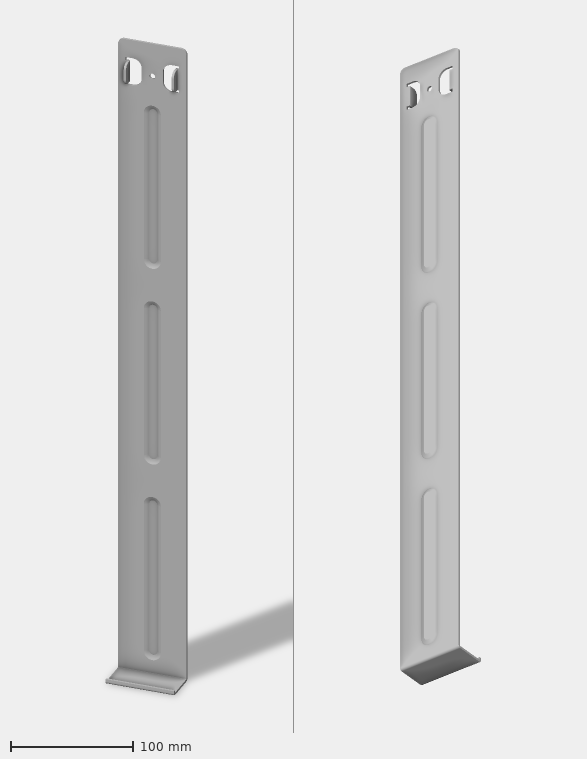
import cadquery as cq
import math

width = 60.0
height = 581.0
overall_depth = 32.5
sheet = 2.0
bend_radius = 0.3
outer_bend_radius = bend_radius + sheet
top_corner_radius = 5.0

rib_count = 3
rib_pitch = 180.0
rib_length = 150.0
rib_width = 15.0
rib_floor_width = 7.0
rib_depth = 2.0
lowest_rib_bottom = 14.0
rib_taper = math.degrees(math.atan((rib_width - rib_floor_width) / 2 / rib_depth))
wall_half_angle = math.radians((90.0 - rib_taper) / 2)
rib_back_width_gain = 2 * sheet * math.tan(wall_half_angle)

flange_reach = overall_depth - sheet - rib_depth
lip_height = 4.5

window_centre_z = height - 29.0
window_height = 25.0
window_inner_x = 9.3
window_outer_x = 23.5
window_corner_radius = 8.0
tab_outer_x = 22.0
tab_relief = 3.0
tab_height = window_height - 2 * tab_relief
tab_reach = 8.0
tab_corner_radius = 5.0
tab_fold_radius = 1.0

hole_diameter = 5.0
hole_z = height - 30.0


def box_between(x_range, y_range, z_range):
    """Box spanning the given (low, high) ranges."""
    size = [high - low for low, high in (x_range, y_range, z_range)]
    corner = (x_range[0], y_range[0], z_range[0])
    return cq.Workplane("XY").box(*size, centered=False).translate(corner)


def make_folded_sheet():
    """Upright plate, bottom flange and lip as one bent strip."""
    strip = (
        cq.Workplane("YZ")
        .moveTo(sheet, height)
        .lineTo(sheet, 0)
        .lineTo(-flange_reach, 0)
        .lineTo(-flange_reach, lip_height)
        .lineTo(sheet - flange_reach, lip_height)
        .lineTo(sheet - flange_reach, sheet)
        .lineTo(0, sheet)
        .lineTo(0, height)
        .close()
        .extrude(width / 2, both=True)
    )
    outer_bends = cq.selectors.BoxSelector(
        (-width, -overall_depth, -sheet / 2), (width, overall_depth, sheet / 2)
    )
    inner_bends = cq.selectors.BoxSelector(
        (-width, -overall_depth, sheet / 2), (width, overall_depth, sheet * 3 / 2)
    )
    strip = strip.edges("|X").edges(outer_bends).fillet(outer_bend_radius)
    strip = strip.edges("|X").edges(inner_bends).fillet(bend_radius)
    return strip.edges("|Y and >Z").fillet(top_corner_radius)


def rib_form(face_y, width_gain, bottom_z):
    """Tapered round-ended form starting at face_y and narrowing toward +Y."""
    return (
        cq.Workplane("XZ", origin=(0, face_y, bottom_z + rib_length / 2))
        .slot2D(rib_length + width_gain, rib_width + width_gain, 90)
        .extrude(-rib_depth, taper=rib_taper)
    )


def add_rib(body, bottom_z):
    """Raise a rib on the back of the plate and dish it out from the front."""
    body = body.union(rib_form(sheet, rib_back_width_gain, bottom_z))
    return body.cut(rib_form(0, 0, bottom_z))


def add_window_and_tab(body, side):
    """Cut one window and fold its tab toward -Y; side is -1 or +1 along X."""
    bottom_z = window_centre_z - window_height / 2
    window = box_between(
        (window_inner_x, window_outer_x), (0, sheet), (bottom_z, bottom_z + window_height)
    )
    window = window.edges("|Y and <X").fillet(window_corner_radius)

    tab_z = (window_centre_z - tab_height / 2, window_centre_z + tab_height / 2)
    hinge_land = box_between((tab_outer_x, window_outer_x), (0, sheet), tab_z)
    tab = box_between((tab_outer_x - sheet, tab_outer_x), (-tab_reach, sheet), tab_z)
    tab = tab.edges("|X and <Y").fillet(tab_corner_radius)
    tab = tab.edges("|Z and >Y and <X").fillet(tab_fold_radius)

    window = window.cut(hinge_land)
    if side < 0:
        window = window.mirror("YZ")
        tab = tab.mirror("YZ")
    return body.cut(window).union(tab)


def drill_hole(body):
    """Small through hole on the centre line between the windows."""
    drill = (
        cq.Workplane("XZ", origin=(0, 0, hole_z))
        .circle(hole_diameter / 2)
        .extrude(-sheet)
    )
    return body.cut(drill)


result = make_folded_sheet()
for rib_index in range(rib_count):
    result = add_rib(result, lowest_rib_bottom + rib_index * rib_pitch)
for window_side in (-1, 1):
    result = add_window_and_tab(result, window_side)
result = drill_hole(result)